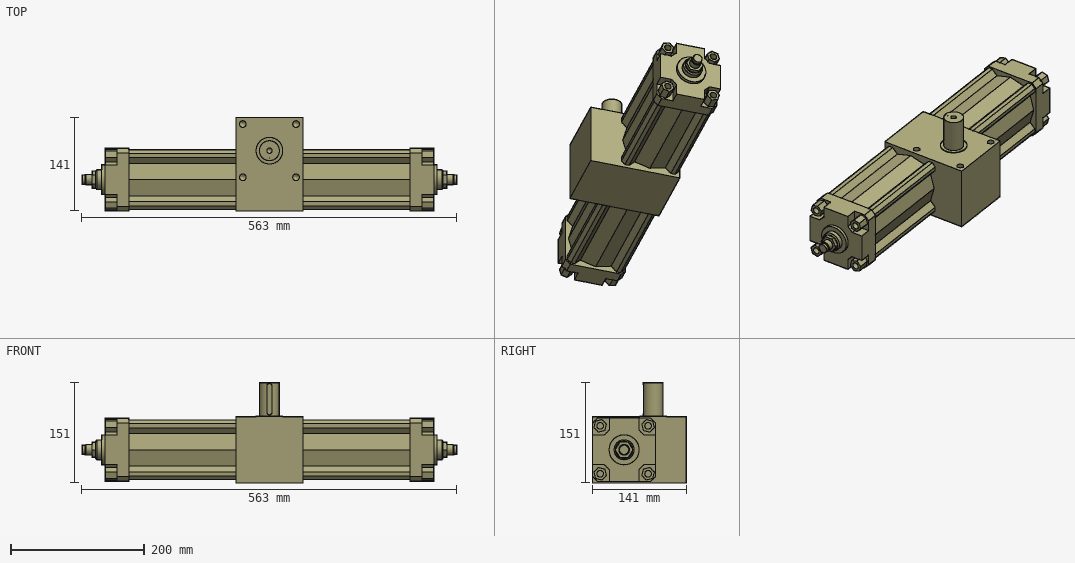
import cadquery as cq
import math


block_width = 101.0
block_height = 100.0
shaft_to_block_back = 50.0
block_length = 141.0
block_hole_spacing = 80.0
block_hole_diameter = 10.0
block_hole_depth = 18.0
drill_tip_angle = 118.0

collar_diameter = 40.0
collar_height = 1.0
shaft_diameter = 30.0
shaft_rise = 51.0
center_hole_diameter = 8.0
center_hole_depth = 18.0
keyway_width = 8.0
keyway_length = 47.0
keyway_depth = 4.0

axis_y = -43.5
axis_z = 0.0

tube_half_size = 45.0
tube_corner_chamfer = 5.5
rib_inner_edge = 33.0
groove_depth = 8.6
ridge_slope = 15.0

cap_outer_x = 247.0
cap_length = 36.0
cap_size = 95.0
cap_chamfer = 7.5
pocket_size = 25.5
pocket_depth = 18.0
pocket_chamfer = 8.0

bolt_spacing = 72.0
bolt_across_flats = 17.0
bolt_bore_diameter = 10.0
bolt_bore_depth = 12.0

overall_length = 563.0
flange_diameter = 45.0
flange_length = 5.0
boss_diameter = 30.0
boss_length = 9.0
boss_chamfer = 2.0
nut_across_flats = 23.0
nut_length = 5.5
stud_diameter = 16.0
neck_diameter = 15.0
neck_length = 1.5
tip_diameter = 14.0
tip_length = 4.5

hexagon_sides = 6
hexagon_corner_ratio = 1 / math.cos(math.pi / hexagon_sides)
block_top = block_height / 2
cap_inner_x = cap_outer_x - cap_length


def on_cylinder_axis(x):
    """Workplane across the cylinder axis at x, with local X along +Y and local Y along +Z."""
    return cq.Workplane("YZ", origin=(x, axis_y, axis_z))


def drilled_hole(x, y, top, diameter, depth):
    """Cutter for a hole drilled downward from the height top, with a conical bottom."""
    radius = diameter / 2
    tip_height = radius / math.tan(math.radians(drill_tip_angle / 2))
    profile = [(0, 0), (radius, 0), (radius, -depth), (0, -depth - tip_height)]
    cutter = cq.Workplane("XZ").polyline(profile).close().revolve(360, (0, 0), (0, 1))
    return cutter.translate((x, y, top))


def make_block():
    center_y = shaft_to_block_back - block_length / 2
    block = cq.Workplane("XY").box(block_width, block_length, block_height)
    block = block.translate((0, center_y, 0))
    offset = block_hole_spacing / 2
    for x in (-offset, offset):
        for y in (-offset, offset):
            block = block.cut(drilled_hole(x, y, block_top, block_hole_diameter, block_hole_depth))
    return block


def make_shaft():
    collar_top = block_top + collar_height
    collar = cq.Workplane("XY", origin=(0, 0, block_top)).circle(collar_diameter / 2).extrude(collar_height)
    shaft = cq.Workplane("XY", origin=(0, 0, block_top)).circle(shaft_diameter / 2)
    shaft = collar.union(shaft.extrude(shaft_rise))
    keyway_z = (collar_top + block_top + shaft_rise) / 2
    keyway = cq.Workplane("XZ", origin=(0, keyway_depth - shaft_diameter / 2, keyway_z))
    keyway = keyway.slot2D(keyway_length, keyway_width, 90).extrude(shaft_diameter)
    center_hole = drilled_hole(0, 0, block_top + shaft_rise, center_hole_diameter, center_hole_depth)
    return shaft.cut(keyway).cut(center_hole)


def make_tube():
    """Cylinder tube from the block to the +X end cap."""
    groove_floor = tube_half_size - groove_depth
    groove_inner_edge = rib_inner_edge - groove_depth
    ridge = groove_floor + groove_inner_edge * math.tan(math.radians(ridge_slope))
    chamfer_edge = tube_half_size - tube_corner_chamfer
    side = [
        (-chamfer_edge, tube_half_size),
        (-rib_inner_edge, tube_half_size),
        (-groove_inner_edge, groove_floor),
        (0, ridge),
        (groove_inner_edge, groove_floor),
        (rib_inner_edge, tube_half_size),
        (chamfer_edge, tube_half_size),
    ]
    section = []
    for cosine, sine in ((1, 0), (0, -1), (-1, 0), (0, 1)):
        section += [(y * cosine - z * sine, y * sine + z * cosine) for y, z in side]
    tube_start = block_width / 2
    return on_cylinder_axis(tube_start).polyline(section).close().extrude(cap_inner_x - tube_start)


def make_bolt_head(y, z):
    """Hexagon bolt head filling the pocket depth, with one corner pointing away from the cap centre."""
    floor_x = cap_outer_x - pocket_depth
    bolt_across_corners = bolt_across_flats * hexagon_corner_ratio
    head = cq.Workplane("YZ").polygon(hexagon_sides, bolt_across_corners).extrude(pocket_depth)
    bore = cq.Workplane("YZ", origin=(pocket_depth - bolt_bore_depth, 0, 0))
    head = head.cut(bore.circle(bolt_bore_diameter / 2).extrude(bolt_bore_depth))
    head = head.rotate((0, 0, 0), (1, 0, 0), math.degrees(math.atan2(z, y)))
    return head.translate((floor_x, axis_y + y, axis_z + z))


def make_cap():
    cap = on_cylinder_axis(cap_inner_x).rect(cap_size, cap_size).extrude(cap_length)
    cap = cap.edges("|X").chamfer(cap_chamfer)
    corner = cap_size / 2
    bolt_offset = bolt_spacing / 2
    for y_side in (-1, 1):
        for z_side in (-1, 1):
            pocket = on_cylinder_axis(cap_outer_x - pocket_depth).center(y_side * corner, z_side * corner)
            pocket = pocket.rect(2 * pocket_size, 2 * pocket_size).extrude(pocket_depth)
            pocket = pocket.edges("|X").chamfer(pocket_chamfer)
            cap = cap.cut(pocket).union(make_bolt_head(y_side * bolt_offset, z_side * bolt_offset))
    return cap


def make_adjuster():
    boss_x = cap_outer_x + flange_length
    nut_x = boss_x + boss_length
    stud_x = nut_x + nut_length
    tip_x = overall_length / 2 - tip_length
    neck_x = tip_x - neck_length
    flange = on_cylinder_axis(cap_outer_x).circle(flange_diameter / 2).extrude(flange_length)
    boss = on_cylinder_axis(boss_x).circle(boss_diameter / 2).extrude(boss_length)
    boss = boss.faces(">X").chamfer(boss_chamfer)
    nut_across_corners = nut_across_flats * hexagon_corner_ratio
    nut = on_cylinder_axis(nut_x).polygon(hexagon_sides, nut_across_corners).extrude(nut_length)
    stud = on_cylinder_axis(stud_x).circle(stud_diameter / 2).extrude(neck_x - stud_x)
    neck = on_cylinder_axis(neck_x).circle(neck_diameter / 2).extrude(neck_length)
    tip = on_cylinder_axis(tip_x).circle(tip_diameter / 2).extrude(tip_length)
    return flange.union(boss).union(nut).union(stud).union(neck).union(tip)


cylinder = make_tube().union(make_cap()).union(make_adjuster())
result = make_block().union(make_shaft())
result = result.union(cylinder).union(cylinder.mirror("YZ"))